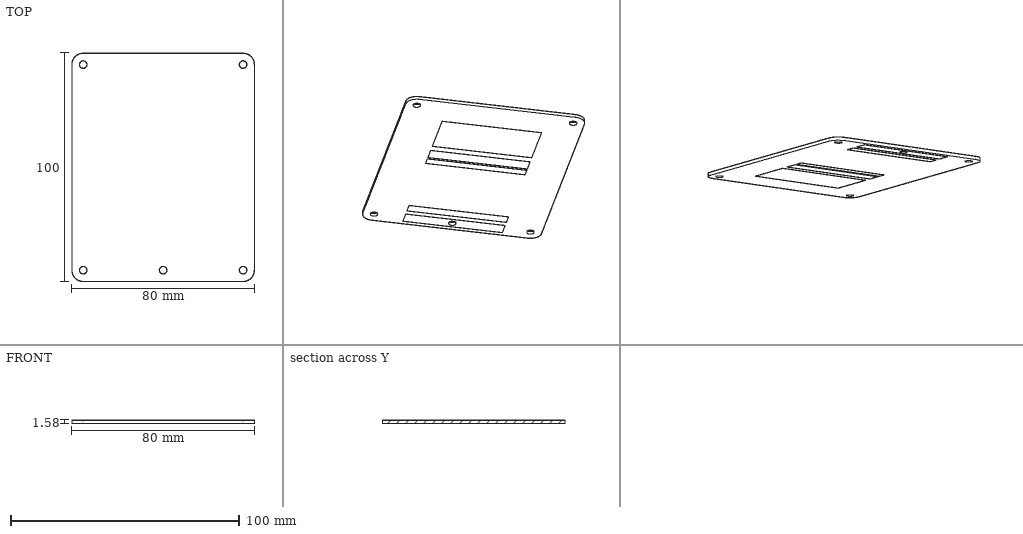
import cadquery as cq

overall_height = 1.58
plate_width = 80.0
plate_length = 100.0
plate_thickness = 1.5
corner_radius = 5.0
hole_diameter = 3.2
hole_edge_distance = 5.0

band_height = overall_height - plate_thickness
band_left = -23.0
band_right = 21.5
band_edges = [
    (-47.8, -41.9),
    (-39.3, -34.8),
    (0.0, 3.7),
    (4.8, 10.7),
    (14.1, 34.8),
]

hole_x = plate_width / 2 - hole_edge_distance
hole_y = plate_length / 2 - hole_edge_distance
corner_hole_centres = [(side_x * hole_x, side_y * hole_y) for side_x in (-1, 1) for side_y in (-1, 1)]
edge_hole_centre = (0.0, -hole_y)


def make_plate():
    """Flat plate with rounded corners, its underside at Z = 0."""
    return (
        cq.Workplane("XY")
        .rect(plate_width, plate_length)
        .extrude(plate_thickness)
        .edges("|Z")
        .fillet(corner_radius)
    )


def make_band(lower_y, upper_y):
    """Thin rectangular band hanging below the plate."""
    return (
        cq.Workplane("XY")
        .center((band_left + band_right) / 2, (lower_y + upper_y) / 2)
        .rect(band_right - band_left, upper_y - lower_y)
        .extrude(-band_height)
    )


def make_holes():
    """Cylinders that cut the mounting holes through plate and bands."""
    return (
        cq.Workplane("XY", origin=(0, 0, -band_height))
        .pushPoints(corner_hole_centres + [edge_hole_centre])
        .circle(hole_diameter / 2)
        .extrude(overall_height)
    )


body = make_plate()
for lower_y, upper_y in band_edges:
    body = body.union(make_band(lower_y, upper_y))

result = body.cut(make_holes())